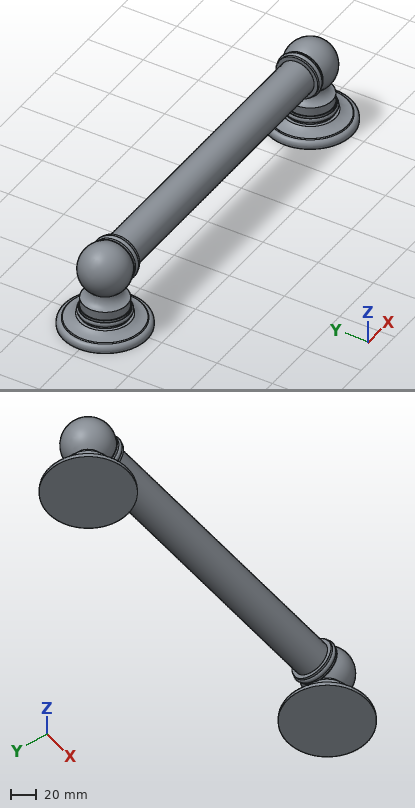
import cadquery as cq

overall_length = 381.0
base_radius = 38.0
post_offset = overall_length / 2 - base_radius

ball_radius = 22.0
ball_height = 53.7
bar_radius = 15.5

base_edge_height = 2.3
base_lip_radius = 34.0
base_lip_height = 6.0
base_edge_bulge = 0.8
base_step_radius = 33.0
base_step_height = 7.0

flare_top_radius = 23.0
flare_top_height = 10.5
flare_sag = 0.8

bead_radius = 22.0
bead_bottom = 12.5
bead_top = 16.8
bead_root_radius = 21.0
foot_radius = 20.2
shoulder_radius = 20.5
shoulder_top = 18.5

drum_radius = 20.0
drum_top = 26.3
neck_top_radius = 12.5
neck_top = 36.2
neck_sag = 1.5

collar_start = 12.2
collar_length = 8.0
collar_radius = 19.0
collar_rim = 2.0
collar_bead_radius = 20.2


def make_post():
    """Base plate, beaded foot, drum and neck, turned about the Z axis."""
    edge_middle = (
        (base_radius + base_lip_radius) / 2 + base_edge_bulge,
        (base_edge_height + base_lip_height) / 2 + base_edge_bulge,
    )
    flare_middle = (
        (base_step_radius + flare_top_radius) / 2 - flare_sag,
        (base_step_height + flare_top_height) / 2 - flare_sag,
    )
    neck_middle = (
        (drum_radius + neck_top_radius) / 2 - neck_sag,
        (drum_top + neck_top) / 2 - neck_sag,
    )
    profile = (
        cq.Workplane("XZ")
        .lineTo(base_radius, 0)
        .lineTo(base_radius, base_edge_height)
        .threePointArc(edge_middle, (base_lip_radius, base_lip_height))
        .lineTo(base_step_radius, base_step_height)
        .threePointArc(flare_middle, (flare_top_radius, flare_top_height))
        .lineTo(foot_radius, flare_top_height)
        .lineTo(foot_radius, bead_bottom)
        .lineTo(bead_root_radius, bead_bottom)
        .threePointArc((bead_radius, (bead_bottom + bead_top) / 2), (bead_root_radius, bead_top))
        .lineTo(shoulder_radius, bead_top)
        .lineTo(shoulder_radius, shoulder_top)
        .lineTo(drum_radius, shoulder_top)
        .lineTo(drum_radius, drum_top)
        .threePointArc(neck_middle, (neck_top_radius, neck_top))
        .lineTo(0, ball_height)
        .close()
    )
    return profile.revolve(360, (0, 0, 0), (0, 1, 0))


def make_collar():
    """Two plain rims with a rounded bead between them, turned about the bar axis."""
    end = collar_start + collar_length
    bead_start = collar_start + collar_rim
    bead_end = end - collar_rim
    profile = (
        cq.Workplane("XZ")
        .moveTo(collar_start, 0)
        .lineTo(collar_start, collar_radius)
        .lineTo(bead_start, collar_radius)
        .threePointArc(((bead_start + bead_end) / 2, collar_bead_radius), (bead_end, collar_radius))
        .lineTo(end, collar_radius)
        .lineTo(end, 0)
        .close()
    )
    return profile.revolve(360, (0, 0, 0), (1, 0, 0)).translate((0, 0, ball_height))


def make_right_end():
    """Post, ball and collar; the collar faces the middle of the bar."""
    ball = cq.Workplane("XY").sphere(ball_radius).translate((0, 0, ball_height))
    collar = make_collar().mirror("YZ")
    return make_post().union(ball).union(collar).translate((post_offset, 0, 0))


bar = (
    cq.Workplane("YZ", origin=(-post_offset, 0, ball_height))
    .circle(bar_radius)
    .extrude(2 * post_offset)
)
right_end = make_right_end()
left_end = right_end.mirror("YZ")
result = bar.union(right_end).union(left_end)